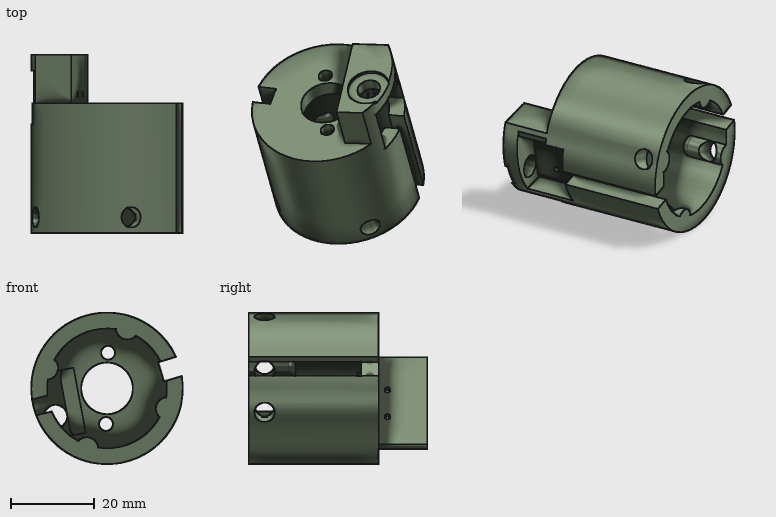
import cadquery as cq
import math

sleeve_radius = 18.1
sleeve_length = 31.0
bore_radius = 14.3
bore_depth = 26.9

shaft_hole_diameter = 12.27
screw_hole_diameter = 3.26
screw_circle_radius = 8.5
screw_angle = 88.3

boss_count = 4
boss_first_angle = 71.4
boss_diameter = 5.5
boss_axis_radius = 15.2
boss_length = 11.2
boss_end_fillet = 1.7
radial_hole_diameter = 4.83
radial_hole_offset = 3.8

open_slot_angle = 17.0
open_slot_width = 4.75
open_slot_floor_radius = 13.5
wire_slot_angle = 194.7
wire_slot_width = 3.93

housing_tilt = 10.7
housing_end = 42.62
housing_inner_face = 6.95
housing_top = 8.92
housing_bottom = -12.2

pocket_start = 25.95
pocket_end = 38.7
pocket_top = 6.33
pocket_bottom = -9.47

side_flat_distance = 16.35

plate_start = 26.8
plate_face = 10.5
plate_edge_face = 9.93
plate_top_bevel = 2.3
plate_bottom_bevel = 1.05

pin_hole_diameter = 1.25
pin_hole_offset = 33.1
pin_spacing = 6.5
pin_upper_height = 0.97

cable_hole_diameter = 5.5
cable_hole_out = 13.3
cable_hole_up = -4.3
counterbore_diameter = 10.0
counterbore_depth = 0.7

reach = 2 * sleeve_radius


def cylinder_y(radius, start, end, x=0.0, z=0.0):
    """Cylinder along Y from start to end."""
    base = cq.Vector(x, start, z)
    return cq.Workplane(cq.Solid.makeCylinder(radius, end - start, base, cq.Vector(0, 1, 0)))


def tilted(out, up):
    """X and Z of a point given in the housing's tilted frame."""
    tilt = math.radians(housing_tilt)
    x = -out * math.cos(tilt) - up * math.sin(tilt)
    z = -out * math.sin(tilt) + up * math.cos(tilt)
    return x, z


def prism(points, start, end):
    """Extrude an (X, Z) outline along Y from start to end."""
    plane = cq.Plane(origin=(0, end, 0), xDir=(1, 0, 0), normal=(0, -1, 0))
    return cq.Workplane(plane).polyline(points).close().extrude(end - start)


def tilted_box(out_min, out_max, up_min, up_max, start, end):
    """Box along Y, square to the housing's tilted frame."""
    corners = [(out_min, up_min), (out_max, up_min), (out_max, up_max), (out_min, up_max)]
    return prism([tilted(*corner) for corner in corners], start, end)


def radial_slot(angle, width, floor_radius, end):
    """Slot cutter running from Y = 0 to end, open outwards in the direction of angle."""
    slot = cq.Workplane("XY").box(reach, end, width, centered=(False, False, True))
    return slot.translate((floor_radius, 0, 0)).rotate((0, 0, 0), (0, 1, 0), -angle)


def make_sleeve():
    outer = cylinder_y(sleeve_radius, 0, sleeve_length).rotate((0, 0, 0), (0, 1, 0), 90 - open_slot_angle)
    return outer.cut(cylinder_y(bore_radius, 0, bore_depth))


def make_housing():
    block = tilted_box(
        housing_inner_face, reach, housing_bottom, housing_top, sleeve_length, housing_end
    )
    return block.intersect(cylinder_y(sleeve_radius, sleeve_length, housing_end))


def make_bosses():
    bosses = cq.Workplane("XY")
    for index in range(boss_count):
        angle = math.radians(boss_first_angle + index * 360 / boss_count)
        x = boss_axis_radius * math.cos(angle)
        z = boss_axis_radius * math.sin(angle)
        boss = cylinder_y(boss_diameter / 2, 0, boss_length, x, z)
        bosses = bosses.add(boss.faces(">Y").edges().fillet(boss_end_fillet))
    return bosses.combine().intersect(cylinder_y(sleeve_radius, 0, boss_length))


def cut_radial_holes(body):
    for index in range(boss_count):
        angle = math.radians(boss_first_angle + index * 360 / boss_count)
        direction = cq.Vector(math.cos(angle), 0, math.sin(angle))
        start = cq.Vector(0, radial_hole_offset, 0)
        hole = cq.Solid.makeCylinder(radial_hole_diameter / 2, reach, start, direction)
        body = body.cut(cq.Workplane(hole))
    return body


def cut_web_holes(body):
    body = body.cut(cylinder_y(shaft_hole_diameter / 2, 0, sleeve_length))
    for angle in (screw_angle, screw_angle + 180):
        x = screw_circle_radius * math.cos(math.radians(angle))
        z = screw_circle_radius * math.sin(math.radians(angle))
        body = body.cut(cylinder_y(screw_hole_diameter / 2, 0, sleeve_length, x, z))
    return body


def cut_slots(body):
    open_slot = radial_slot(open_slot_angle, open_slot_width, open_slot_floor_radius, sleeve_length)
    wire_slot = radial_slot(wire_slot_angle, wire_slot_width, 0, pocket_start)
    return body.cut(open_slot).cut(wire_slot)


def cut_switch_pocket(body):
    pocket = tilted_box(
        housing_inner_face, reach, pocket_bottom, pocket_top, pocket_start, pocket_end
    )
    side_flat = tilted_box(side_flat_distance, reach, -reach, reach, sleeve_length, pocket_end)
    return body.cut(pocket).cut(side_flat)


def make_plate():
    outline = [
        (housing_inner_face, pocket_bottom),
        (plate_edge_face, pocket_bottom),
        (plate_face, pocket_bottom + plate_bottom_bevel),
        (plate_face, pocket_top - plate_top_bevel),
        (plate_edge_face, pocket_top),
        (housing_inner_face, pocket_top),
    ]
    return prism([tilted(*point) for point in outline], plate_start, pocket_end)


def cut_pin_holes(body):
    out_x, out_z = tilted(1, 0)
    for up in (pin_upper_height, pin_upper_height - pin_spacing):
        x, z = tilted(0, up)
        start = cq.Vector(x, pin_hole_offset, z)
        pin = cq.Solid.makeCylinder(pin_hole_diameter / 2, reach, start, cq.Vector(out_x, 0, out_z))
        body = body.cut(cq.Workplane(pin))
    return body


def cut_cable_hole(body):
    x, z = tilted(cable_hole_out, cable_hole_up)
    counterbore_start = housing_end - counterbore_depth
    body = body.cut(cylinder_y(cable_hole_diameter / 2, pocket_end, housing_end, x, z))
    return body.cut(cylinder_y(counterbore_diameter / 2, counterbore_start, housing_end, x, z))


body = make_sleeve().union(make_housing()).union(make_bosses())
body = cut_radial_holes(body)
body = cut_web_holes(body)
body = cut_slots(body)
body = cut_switch_pocket(body)
body = body.union(make_plate())
body = cut_pin_holes(body)
result = cut_cable_hole(body)